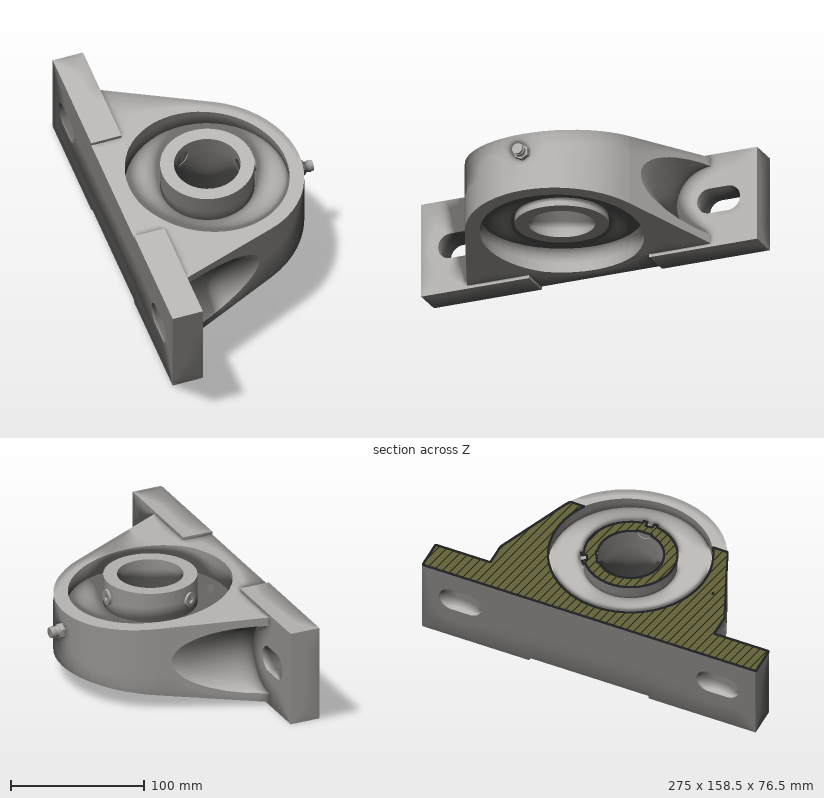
import cadquery as cq
import math

base_length = 275.0
base_thickness = 24.0
base_width = 75.0
waist_length = 98.5
waist_depth = 2.5

slot_spacing = 212.0
slot_length = 35.0
slot_width = 20.0

bore_height = 75.0
housing_radius = 72.8
housing_foot_width = 200.0
root_height = 0.7
taper_start = base_thickness + root_height
housing_root_width = base_width - 2 * waist_depth
housing_tip_width = 46.0
housing_top = bore_height + housing_radius

scoop_radius = 28.0
seat_diameter = 123.75

insert_width = 31.0
ring_diameter = 70.8
bore_diameter = 50.0
ring_top = 39.0
ring_bottom = -22.0

hexagon_sides = 6

screw_diameter = 12.0
screw_level = 27.0
screw_head_radius = 37.0
screw_tip_recess = 0.5
screw_tip_radius = bore_diameter / 2 + screw_tip_recess
socket_diameter = 6.0
socket_depth = 4.0
screw_angles = (90.0, 210.0)

nipple_level = 7.0
nipple_top = 158.5
stem_diameter = 8.2
nipple_embedding = 3.0
nipple_root = housing_top - nipple_embedding
hex_diameter = 12.0
hex_top = 151.8
hex_chamfer = 0.8
flare_diameter = 9.2
flare_top = 152.5
rib_diameter = 9.2
rib_cone_bottom = 154.1
rib_bottom = 155.6
rib_top = 156.1


def cylinder_z(diameter, bottom, top):
    """Cylinder on the bearing axis between two Z levels."""
    return (
        cq.Workplane("XY", origin=(0, bore_height, bottom))
        .circle(diameter / 2)
        .extrude(top - bottom)
    )


def plane_facing_y(height, level=0.0):
    """Plane at a given Y, with its normal along +Y and local x along X."""
    return cq.Workplane(cq.Plane((0, height, level), xDir=(1, 0, 0), normal=(0, 1, 0)))


def make_base():
    base = plane_facing_y(0).rect(base_length, base_width).extrude(base_thickness)
    for side in (-1, 1):
        waist = (
            plane_facing_y(0)
            .center(0, side * base_width / 2)
            .rect(waist_length, 2 * waist_depth)
            .extrude(base_thickness)
        )
        base = base.cut(waist)
    slots = (
        plane_facing_y(0)
        .pushPoints([(-slot_spacing / 2, 0), (slot_spacing / 2, 0)])
        .slot2D(slot_length, slot_width)
        .extrude(base_thickness)
    )
    return base.cut(slots)


def make_housing():
    half_foot = housing_foot_width / 2
    rise = bore_height - base_thickness
    centre_distance = math.hypot(half_foot, rise)
    tangent_angle = math.acos(housing_radius / centre_distance) - math.atan2(rise, half_foot)
    tangent_x = housing_radius * math.cos(tangent_angle)
    tangent_y = bore_height + housing_radius * math.sin(tangent_angle)
    outline = (
        cq.Workplane("XY", origin=(0, 0, -housing_root_width / 2))
        .moveTo(-half_foot, base_thickness)
        .lineTo(half_foot, base_thickness)
        .lineTo(tangent_x, tangent_y)
        .threePointArc((0, housing_top), (-tangent_x, tangent_y))
        .close()
        .extrude(housing_root_width)
    )
    tapered_side = (
        cq.Workplane("YZ", origin=(-half_foot, 0, 0))
        .moveTo(base_thickness, -housing_root_width / 2)
        .lineTo(taper_start, -housing_root_width / 2)
        .lineTo(housing_top, -housing_tip_width / 2)
        .lineTo(housing_top, housing_tip_width / 2)
        .lineTo(taper_start, housing_root_width / 2)
        .lineTo(base_thickness, housing_root_width / 2)
        .close()
        .extrude(housing_foot_width)
    )
    scoops = (
        plane_facing_y(base_thickness)
        .pushPoints([(-half_foot, 0), (half_foot, 0)])
        .circle(scoop_radius)
        .extrude(housing_top - base_thickness)
    )
    return outline.intersect(tapered_side).cut(scoops)


def make_insert():
    outer = cylinder_z(seat_diameter, -insert_width / 2, insert_width / 2)
    return outer.union(cylinder_z(ring_diameter, ring_bottom, ring_top))


def radial_plane(angle, radius):
    """Plane at the set screw level whose normal points away from the bearing axis."""
    turn = math.radians(angle)
    direction = (math.cos(turn), math.sin(turn), 0)
    origin = (radius * direction[0], bore_height + radius * direction[1], screw_level)
    return cq.Workplane(cq.Plane(origin, xDir=(0, 0, 1), normal=direction))


def add_set_screw(body, angle):
    hole = radial_plane(angle, 0).circle(screw_diameter / 2).extrude(screw_head_radius)
    screw = (
        radial_plane(angle, screw_tip_radius)
        .circle(screw_diameter / 2)
        .extrude(screw_head_radius - screw_tip_radius)
    )
    socket = (
        radial_plane(angle, screw_head_radius)
        .polygon(hexagon_sides, socket_diameter)
        .extrude(-socket_depth)
    )
    return body.cut(hole).union(screw).cut(socket)


def make_nipple():
    hexagon = (
        plane_facing_y(nipple_root, nipple_level)
        .transformed(rotate=(0, 0, 90))
        .polygon(hexagon_sides, hex_diameter)
        .extrude(hex_top - nipple_root)
    )
    chamfered = (
        plane_facing_y(nipple_root, nipple_level)
        .circle(hex_diameter / 2)
        .extrude(hex_top - nipple_root)
        .faces(">Y")
        .chamfer(hex_chamfer)
    )
    stem = (
        cq.Workplane("XY", origin=(0, 0, nipple_level))
        .moveTo(0, nipple_root)
        .lineTo(flare_diameter / 2, nipple_root)
        .lineTo(flare_diameter / 2, hex_top)
        .lineTo(stem_diameter / 2, flare_top)
        .lineTo(stem_diameter / 2, rib_cone_bottom)
        .lineTo(rib_diameter / 2, rib_bottom)
        .lineTo(rib_diameter / 2, rib_top)
        .lineTo(stem_diameter / 2, rib_top)
        .lineTo(stem_diameter / 2, nipple_top)
        .lineTo(0, nipple_top)
        .close()
        .revolve(360, (0, 0, 0), (0, 1, 0))
    )
    return hexagon.intersect(chamfered).union(stem)


casting = make_base().union(make_housing())
casting = casting.cut(cylinder_z(seat_diameter, -base_width / 2, base_width / 2))
body = casting.union(make_insert()).union(make_nipple())
body = body.cut(cylinder_z(bore_diameter, ring_bottom, ring_top))
for screw_angle in screw_angles:
    body = add_set_screw(body, screw_angle)

result = body